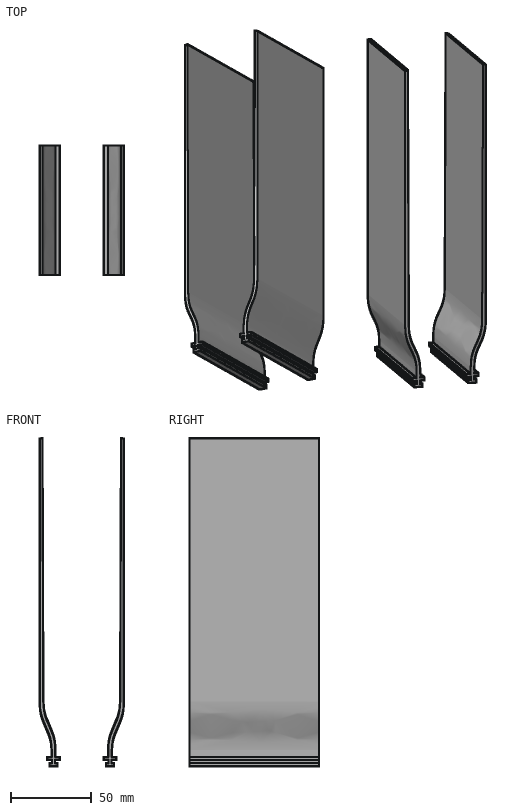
import cadquery as cq

HEIGHT = 203.8
DEPTH = 80.5
OUTER_WIDTH = 52.4

WALL = 2.5
STEM_CENTRE = 17.5
BEND_BOTTOM = 10.0
BEND_TOP = 40.1
BEND_SHIFT = 0.71

TIP_WALL = 1.87
TIP_DROP = 0.5

FLANGE_WIDTH = 8.0
FOOT_WIDTH = 5.0
NECK_WIDTH = 2.0
FOOT_TOP = 2.0
FLANGE_BOTTOM = 4.0
FLANGE_TOP = 6.0

PANEL_OUTER = OUTER_WIDTH / 2
PANEL_INNER = PANEL_OUTER - WALL
STEM_OUTER = STEM_CENTRE + WALL / 2
STEM_INNER = STEM_CENTRE - WALL / 2
BEND_MIDDLE = (BEND_BOTTOM + BEND_TOP) / 2


def bend_poles(stem_x, panel_x, middle_z):
    """Poles of an S-curve from stem to panel, vertical at both ends."""
    return [
        (stem_x, BEND_BOTTOM),
        (stem_x, middle_z),
        (panel_x, middle_z),
        (panel_x, BEND_TOP),
    ]


def panel_profile():
    """XZ outline of the +X panel, drawn up the outer side and down the inner side."""
    outer_bend = bend_poles(STEM_OUTER, PANEL_OUTER, BEND_MIDDLE - BEND_SHIFT)
    inner_bend = bend_poles(STEM_INNER, PANEL_INNER, BEND_MIDDLE)
    return (
        cq.Workplane("XZ")
        .moveTo(STEM_OUTER, FLANGE_TOP)
        .lineTo(STEM_OUTER, BEND_BOTTOM)
        .bezier(outer_bend)
        .lineTo(PANEL_OUTER, HEIGHT - TIP_DROP)
        .lineTo(PANEL_OUTER - TIP_WALL, HEIGHT)
        .lineTo(PANEL_INNER, BEND_TOP)
        .bezier(inner_bend[::-1])
        .lineTo(STEM_INNER, FLANGE_TOP)
        .close()
    )


def foot_bar(width, bottom, top):
    """Full-depth bar centred below the stem."""
    bar = cq.Workplane("XY").box(width, DEPTH, top - bottom, centered=(True, True, False))
    return bar.translate((STEM_CENTRE, 0, bottom))


def make_panel():
    """Panel on the +X side, including its flange, neck and foot."""
    wall = panel_profile().extrude(DEPTH).translate((0, DEPTH / 2, 0))
    flange = foot_bar(FLANGE_WIDTH, FLANGE_BOTTOM, FLANGE_TOP)
    neck = foot_bar(NECK_WIDTH, FOOT_TOP, FLANGE_BOTTOM)
    foot = foot_bar(FOOT_WIDTH, 0, FOOT_TOP)
    return wall.union(flange).union(neck).union(foot)


panels = []
for mirrored in (False, True):
    panel = make_panel()
    if mirrored:
        panel = panel.mirror("YZ")
    panels.append(panel.val())

result = cq.Compound.makeCompound(panels)